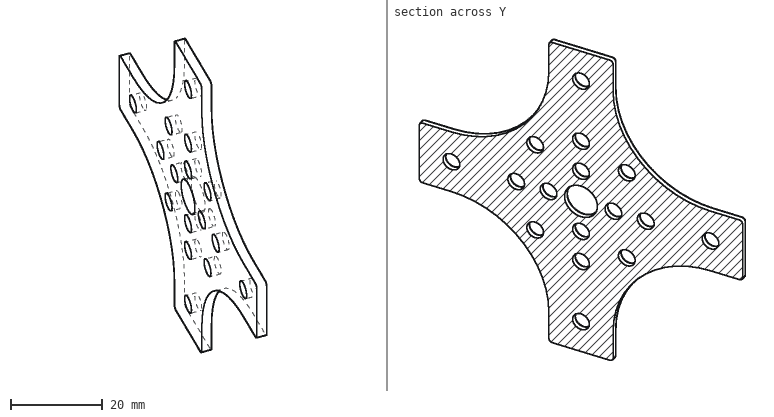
import cadquery as cq
import math

span = 80.0
thickness = 2.3
arm_width = 16.0
straight_length = 8.0
corner_radius = 1.0

center_bore_diameter = 8.0
hole_diameter = 4.0
inner_ring_radius = 8.0
middle_ring_radius = 16.0
outer_ring_radius = 32.0

half_span = span / 2
half_width = arm_width / 2
arc_end = half_span - straight_length
scallop_radius = arc_end - half_width


def back_plane():
    """XZ plane on the back (+Y) face of the plate, extruding toward -Y."""
    return cq.Workplane("XZ", origin=(0, thickness / 2, 0))


def quarter_turned(x, z, turns):
    """Point turned about the plate centre by a number of quarter turns."""
    for _ in range(turns):
        x, z = -z, x
    return (x, z)


def cross_plate():
    """Four-armed plate with a concave quarter circle between neighbouring arms."""
    arc_middle = arc_end - scallop_radius * math.cos(math.radians(45))
    outline = back_plane().moveTo(half_span, -half_width)
    for turns in range(4):
        outline = (
            outline.lineTo(*quarter_turned(half_span, half_width, turns))
            .lineTo(*quarter_turned(arc_end, half_width, turns))
            .threePointArc(
                quarter_turned(arc_middle, arc_middle, turns),
                quarter_turned(half_width, arc_end, turns),
            )
            .lineTo(*quarter_turned(half_width, half_span, turns))
        )
    return outline.close().extrude(thickness)


def round_tip_corners(plate):
    """Round the two corners at the tip of every arm."""
    for side in (-1, 1):
        for along_x, along_z in ((half_span, half_width), (half_width, half_span)):
            for mirror in (-1, 1):
                corner = (side * along_x, 0, mirror * along_z)
                plate = plate.edges(cq.selectors.NearestToPointSelector(corner)).fillet(corner_radius)
    return plate


def hole_cutter(places, diameter):
    """Cylinders through the full thickness at the given X, Z places."""
    return back_plane().pushPoints(places).circle(diameter / 2).extrude(thickness)


def ring(radius, start_angle):
    """Four evenly spaced places on a circle about the plate centre."""
    angles = [math.radians(start_angle + 90 * i) for i in range(4)]
    return [(radius * math.cos(a), radius * math.sin(a)) for a in angles]


hole_places = (
    ring(inner_ring_radius, 0)
    + ring(middle_ring_radius, 0)
    + ring(middle_ring_radius, 45)
    + ring(outer_ring_radius, 0)
)

result = round_tip_corners(cross_plate())
result = result.cut(hole_cutter([(0, 0)], center_bore_diameter))
result = result.cut(hole_cutter(hole_places, hole_diameter))